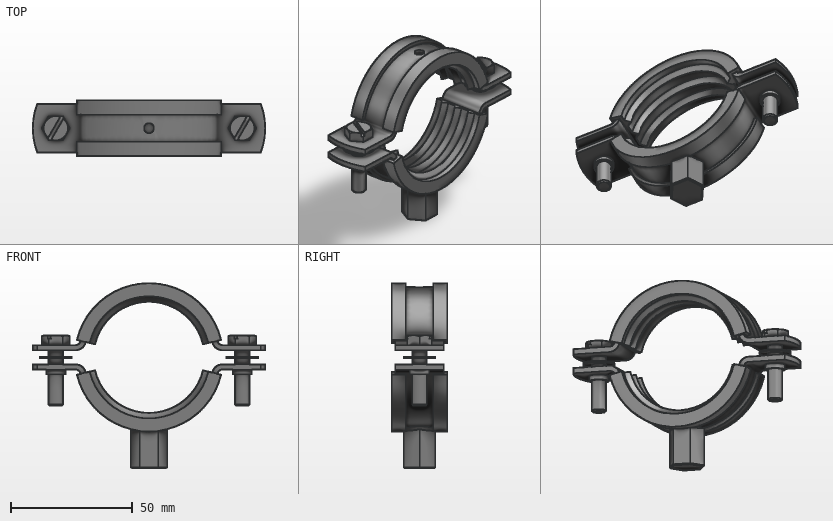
import cadquery as cq
import math


END_ANGLE = 13.5
STRAP_WIDTH = 20.0
STRAP_THICKNESS = 2.2
STRAP_INNER_R = 26.7
STRAP_OUTER_R = STRAP_INNER_R + STRAP_THICKNESS
EAR_SPAN = 95.58
EAR_TIP_R = 28.0
EAR_INNER_Z = 2.85
EAR_OUTER_Z = EAR_INNER_Z + STRAP_THICKNESS
PIN_HOLE_D = 4.1

LINER_WIDTH = 23.0
LINER_OUTER_R = 30.5
LINER_BORE_R = 25.1
RIDGE_TIP_R = 22.8
RIDGE_BASE = 3.5
RIDGE_PITCH = 7.1
RIDGE_COUNT = 3
LIP_GAP = 11.1

SCREW_X = 38.3
SCREW_D = 6.0
SCREW_LENGTH = 25.0
SCREW_TIP_CHAMFER = 0.6
HEAD_FLATS = 10.0
HEAD_HEIGHT = 4.0
SLOT_WIDTH = 1.5
SLOT_DEPTH = 1.5
SLOT_ANGLE = 60.0
COLLAR_D = 8.0
COLLAR_HEIGHT = 2.0
WASHER_D = 13.0
WASHER_THICKNESS = 0.6

NUT_FLATS = 13.0
OVERALL_HEIGHT = 76.09
NUT_BOTTOM_Z = LINER_OUTER_R - OVERALL_HEIGHT
NUT_CHAMFER = 0.5
NUT_NECK_D = LIP_GAP

HEX_BEVEL_ANGLE = 30.0


def across_corners(flats):
    return flats / math.cos(math.radians(30))


def polar(radius, degrees, centre=(0, 0)):
    angle = math.radians(degrees)
    return (centre[0] + radius * math.cos(angle), centre[1] + radius * math.sin(angle))


def mirrored_x(point):
    return (-point[0], point[1])


def cylinder(diameter, bottom, top, x=0.0):
    return cq.Workplane("XY", origin=(x, 0, bottom)).circle(diameter / 2).extrude(top - bottom)


def cross_cylinder(radius):
    """Cylinder along the pipe axis, longer than the clamp is wide."""
    return cq.Workplane("XZ").circle(radius).extrude(LINER_WIDTH, both=True)


def bevelled_hexagon(flats, bottom, top):
    """Hexagonal prism whose upper corners are turned off by a cone touching the flats."""
    corners = across_corners(flats)
    corner_drop = (corners - flats) / 2 * math.tan(math.radians(HEX_BEVEL_ANGLE))
    prism = cq.Workplane("XY").workplane(offset=bottom).polygon(6, corners).extrude(top - bottom)
    turned = (
        cq.Workplane("XZ")
        .polyline([
            (0, bottom),
            (corners / 2, bottom),
            (corners / 2, top - corner_drop),
            (flats / 2, top),
            (0, top),
        ])
        .close()
        .revolve(360, (0, 0), (0, 1))
    )
    return prism.intersect(turned)


def strap():
    """Upper strap without holes: half ring, two bends tangent to the ring, and two ears."""
    sine = math.sin(math.radians(END_ANGLE))
    bend_centre_r = (STRAP_INNER_R - EAR_INNER_Z) / (1 - sine)
    bend_centre = polar(bend_centre_r, END_ANGLE)
    bend_x = bend_centre[0]
    bend_small_r = bend_centre_r - STRAP_OUTER_R
    bend_large_r = bend_centre_r - STRAP_INNER_R
    bend_middle = (END_ANGLE + 180 + 270) / 2

    outer_end = polar(STRAP_OUTER_R, END_ANGLE)
    inner_end = polar(STRAP_INNER_R, END_ANGLE)
    outer_bend = polar(bend_small_r, bend_middle, bend_centre)
    inner_bend = polar(bend_large_r, bend_middle, bend_centre)
    tip_x = EAR_SPAN / 2

    outline = (
        cq.Workplane("XZ")
        .moveTo(*mirrored_x(outer_end))
        .threePointArc((0, STRAP_OUTER_R), outer_end)
        .threePointArc(outer_bend, (bend_x, EAR_OUTER_Z))
        .lineTo(tip_x, EAR_OUTER_Z)
        .lineTo(tip_x, EAR_INNER_Z)
        .lineTo(bend_x, EAR_INNER_Z)
        .threePointArc(inner_bend, inner_end)
        .threePointArc((0, STRAP_INNER_R), mirrored_x(inner_end))
        .threePointArc(mirrored_x(inner_bend), (-bend_x, EAR_INNER_Z))
        .lineTo(-tip_x, EAR_INNER_Z)
        .lineTo(-tip_x, EAR_OUTER_Z)
        .lineTo(-bend_x, EAR_OUTER_Z)
        .threePointArc(mirrored_x(outer_bend), mirrored_x(outer_end))
        .close()
    )
    band = outline.extrude(STRAP_WIDTH / 2, both=True)

    half_width = STRAP_WIDTH / 2
    corner_x = tip_x - (EAR_TIP_R - math.sqrt(EAR_TIP_R**2 - half_width**2))
    plan = (
        cq.Workplane("XY")
        .moveTo(-corner_x, -half_width)
        .lineTo(corner_x, -half_width)
        .threePointArc((tip_x, 0), (corner_x, half_width))
        .lineTo(-corner_x, half_width)
        .threePointArc((-tip_x, 0), (-corner_x, -half_width))
        .close()
        .extrude(STRAP_OUTER_R)
    )
    return band.intersect(plan)


def drill_ears(body):
    for side in (-1, 1):
        body = body.cut(cylinder(SCREW_D, -LINER_OUTER_R, LINER_OUTER_R, side * SCREW_X))
    return body


def upper_strap():
    crown_hole = cylinder(PIN_HOLE_D, 0, LINER_OUTER_R)
    return drill_ears(strap()).cut(crown_hole)


def lower_strap():
    body = strap().mirror("XY")
    for side in (-1, 1):
        collar = cylinder(COLLAR_D, -EAR_OUTER_Z - COLLAR_HEIGHT, -EAR_OUTER_Z, side * SCREW_X)
        body = body.union(collar)
    return drill_ears(body)


def lower_liner():
    """Half ring of channel section that wraps the strap edges, ridged on the inside."""
    half_liner = LINER_WIDTH / 2
    half_strap = STRAP_WIDTH / 2
    half_gap = LIP_GAP / 2
    section = [
        (LINER_BORE_R, -half_liner),
        (LINER_OUTER_R, -half_liner),
        (LINER_OUTER_R, -half_gap),
        (STRAP_OUTER_R, -half_gap),
        (STRAP_OUTER_R, -half_strap),
        (STRAP_INNER_R, -half_strap),
        (STRAP_INNER_R, half_strap),
        (STRAP_OUTER_R, half_strap),
        (STRAP_OUTER_R, half_gap),
        (LINER_OUTER_R, half_gap),
        (LINER_OUTER_R, half_liner),
        (LINER_BORE_R, half_liner),
    ]
    for index in range(RIDGE_COUNT):
        ridge_y = ((RIDGE_COUNT - 1) / 2 - index) * RIDGE_PITCH
        section += [
            (LINER_BORE_R, ridge_y + RIDGE_BASE / 2),
            (RIDGE_TIP_R, ridge_y),
            (LINER_BORE_R, ridge_y - RIDGE_BASE / 2),
        ]
    sweep = 180 - 2 * END_ANGLE
    half_ring = cq.Workplane("XY").polyline(section).close().revolve(sweep, (0, 0), (0, 1))
    return half_ring.rotate((0, 0, 0), (0, 1, 0), END_ANGLE)


def connection_nut():
    """Hexagonal socket saddled on the liner lips, with a round neck reaching up to the strap."""
    hexagon = (
        cq.Workplane("XY")
        .workplane(offset=NUT_BOTTOM_Z)
        .polygon(6, across_corners(NUT_FLATS))
        .extrude(-NUT_BOTTOM_Z)
        .faces("<Z")
        .chamfer(NUT_CHAMFER)
        .cut(cross_cylinder(LINER_OUTER_R))
    )
    neck = cylinder(NUT_NECK_D, -LINER_OUTER_R, 0).cut(cross_cylinder(STRAP_OUTER_R))
    return hexagon.union(neck)


def screw(x):
    """Slotted hexagon-head screw standing on the upper ear."""
    head = bevelled_hexagon(HEAD_FLATS, EAR_OUTER_Z, EAR_OUTER_Z + HEAD_HEIGHT)
    slot = (
        cq.Workplane("XY")
        .workplane(offset=EAR_OUTER_Z + HEAD_HEIGHT - SLOT_DEPTH)
        .rect(2 * HEAD_FLATS, SLOT_WIDTH)
        .extrude(SLOT_DEPTH)
        .rotate((0, 0, 0), (0, 0, 1), SLOT_ANGLE)
    )
    shank = cylinder(SCREW_D, EAR_OUTER_Z - SCREW_LENGTH, EAR_OUTER_Z)
    shank = shank.faces("<Z").chamfer(SCREW_TIP_CHAMFER)
    return head.cut(slot).union(shank).translate((x, 0, 0))


def washer(x):
    half = WASHER_THICKNESS / 2
    return cylinder(WASHER_D, -half, half, x).cut(cylinder(SCREW_D, -half, half, x))


liner_below = lower_liner()
liner_above = liner_below.mirror("XY")
nut = connection_nut()

screws = [screw(side * SCREW_X) for side in (-1, 1)]
washers = [washer(side * SCREW_X) for side in (-1, 1)]

bodies = [upper_strap(), lower_strap(), liner_above, liner_below, nut, *screws, *washers]
result = cq.Compound.makeCompound([body.solids().val() for body in bodies])